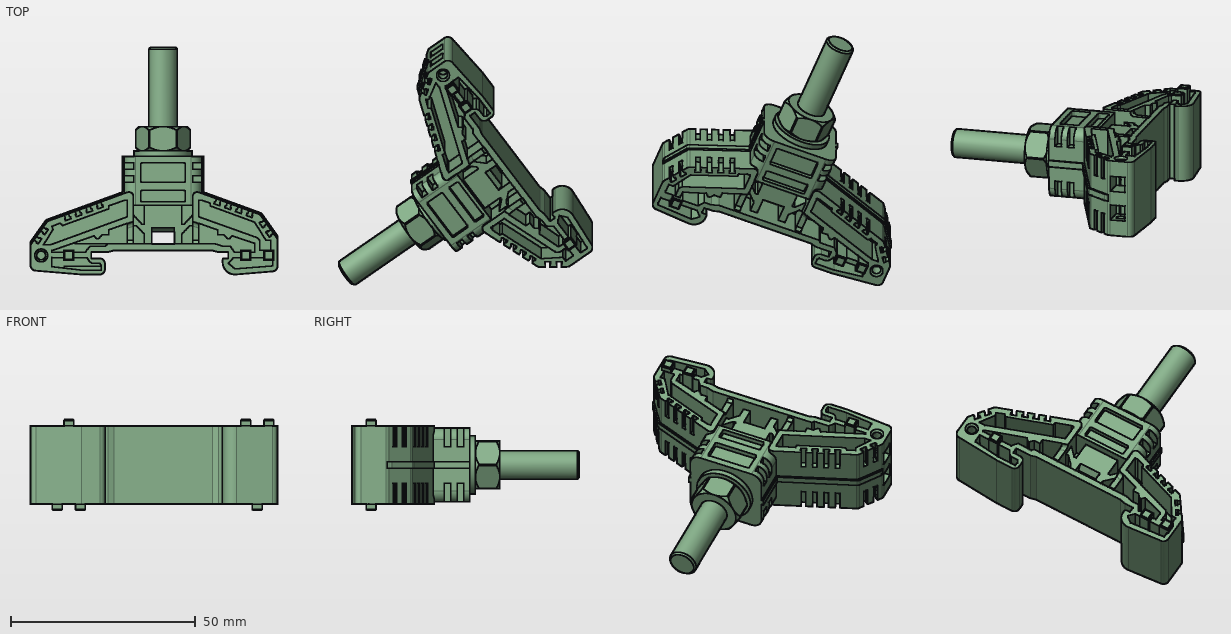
import cadquery as cq
import math


body_half_z = 10.6
web_half_z = 0.9
left_side_x = -35.95
right_side_x = 31.05
bottom_y = -6.5

slope = math.radians(20)
steep = math.radians(54.5)
left_knee_x = -31.35
right_knee_x = 26.3
arm_start_y = 15.5
arm_inner_x = 8.05
arm_wall_x = 9.7
left_pocket_x = -30.1
arm_corner_radius = 1.2
rib_height = 0.5
knee_radius = 1.4

hub_half_x = 10.5
hub_half_z = 10.0
hub_bottom_y = 12.25
hub_top_y = 25.5
hub_edge_radius = 3.0

rail_wall = 1.8
rail_step = 0.43
hook_top_y = -2.07

recess_floor_z = 7.4
strut_x = 5.05

peg_size = 2.75
peg_tip_z = 12.3
peg_chamfer = 0.3
peg_y = -1.26
top_peg_xs = (-25.5, 22.4, 28.65)

stud_diameter = 7.79
stud_end_y = 55.1
stud_chamfer = 0.5
collar_diameter = 15.8
collar_thickness = 1.5
nut_across_flats = 13.0
nut_corner_diameter = 14.8
nut_height = 6.6
nut_chamfer = 0.9


def prism(outline, z_low, z_high):
    """Closed X-Y polygon extruded from z_low to z_high."""
    return cq.Workplane("XY").workplane(offset=z_low).polyline(outline).close().extrude(z_high - z_low)


def block(x_low, x_high, y_low, y_high, z_low, z_high):
    return cq.Workplane("XY").box(
        x_high - x_low, y_high - y_low, z_high - z_low, centered=False
    ).translate((x_low, y_low, z_low))


def round_corners(shape, corners):
    """Fillets the upright edge nearest to each (x, y, radius)."""
    for x, y, radius in corners:
        nearest = cq.selectors.NearestToPointSelector((x, y, 0))
        shape = shape.edges("|Z").edges(nearest).fillet(radius)
    return shape


def both_faces(shape):
    """The shape together with its mirror image on the -Z side."""
    return shape.union(shape.mirror("XY"))


def both_sides(shape):
    """The shape together with its mirror image on the -X side."""
    return shape.union(shape.mirror("YZ"))


def arm_edge(side, knee_x, side_x, offset=0.0):
    """Upper edge of an arm from the hub outwards: hub end, knee and outer side, raised by offset."""
    hub_x = side * (hub_half_x + offset)
    knee_y = arm_start_y - (abs(knee_x) - hub_half_x) * math.tan(slope)
    bisector = (slope + steep) / 2
    reach = offset / math.cos((steep - slope) / 2)
    x = abs(knee_x) + reach * math.sin(bisector)
    y = knee_y + reach * math.cos(bisector)
    hub_y = y + (x - abs(hub_x)) * math.tan(slope)
    side_y = y - (abs(side_x) - x) * math.tan(steep)
    return [(hub_x, hub_y), (side * x, y), (side_x, side_y)]


left_edge = arm_edge(-1, left_knee_x, left_side_x)
right_edge = arm_edge(1, right_knee_x, right_side_x)


def make_profile():
    """Rail wall, feet with hooks, and arms, over the full thickness."""
    foot_radius = 1.6
    left_hook_x = -15.7
    left_hook_bottom_radius = 1.5
    left_hook_top_radius = 1.5
    left_gap_x = -19.4
    left_slope_end_x = -22.1
    left_corner_y = -5.35
    right_hook_x = 16.1
    right_hook_radius = 3.4
    right_hook_tip_radius = 0.5
    right_gap_x = 17.6
    right_hook_corner_y = -6.8
    right_corner_y = -5.55
    step_inner_x = 13.35
    step_outer_x = 14.95
    arm_top_y = arm_start_y + (hub_half_x - arm_inner_x) * math.tan(slope)

    profile = (
        cq.Workplane("XY").workplane(offset=-body_half_z)
        .moveTo(left_side_x, left_corner_y)
        .lineTo(left_slope_end_x, bottom_y)
        .lineTo(left_hook_x, bottom_y)
        .lineTo(left_hook_x, hook_top_y)
        .lineTo(left_gap_x, hook_top_y)
        .lineTo(left_gap_x, -rail_step)
        .lineTo(-step_outer_x, -rail_step)
        .lineTo(-step_inner_x, 0)
        .lineTo(step_inner_x, 0)
        .lineTo(step_outer_x, -rail_step)
        .lineTo(right_gap_x, -rail_step)
        .lineTo(right_gap_x, hook_top_y)
        .lineTo(right_hook_x, hook_top_y)
        .lineTo(right_hook_x, right_hook_corner_y)
        .lineTo(right_side_x, right_corner_y)
        .lineTo(*right_edge[2])
        .lineTo(*right_edge[1])
        .lineTo(arm_inner_x, arm_top_y)
        .lineTo(arm_inner_x, hub_bottom_y)
        .lineTo(-arm_inner_x, hub_bottom_y)
        .lineTo(-arm_inner_x, arm_top_y)
        .lineTo(*left_edge[1])
        .lineTo(*left_edge[2])
        .close()
        .extrude(2 * body_half_z)
    )

    rounded_corners = (
        (left_side_x, left_corner_y, foot_radius),
        (right_side_x, right_corner_y, foot_radius),
        (left_hook_x, bottom_y, left_hook_bottom_radius),
        (left_hook_x, hook_top_y, left_hook_top_radius),
        (right_hook_x, right_hook_corner_y, right_hook_radius),
        (right_hook_x, hook_top_y, right_hook_tip_radius),
        (-arm_inner_x, arm_top_y, arm_corner_radius),
        (arm_inner_x, arm_top_y, arm_corner_radius),
        *[(x, y, knee_radius) for x, y in left_edge[1:] + right_edge[1:]],
    )
    return round_corners(profile, rounded_corners)


def make_hub():
    hub = block(-hub_half_x, hub_half_x, hub_bottom_y, hub_top_y, -hub_half_z, hub_half_z)
    return hub.edges("|Y").fillet(hub_edge_radius)


def make_seam_rib():
    """Thin raised strip at mid thickness that follows the arms and the hub sides."""
    left = arm_edge(-1, left_knee_x, left_side_x, rib_height)
    right = arm_edge(1, right_knee_x, right_side_x, rib_height)
    outline = [(left[0][0], hub_top_y)] + left + [left_edge[2], right_edge[2]]
    outline += right[::-1] + [(right[0][0], hub_top_y)]
    rib = prism(outline, -web_half_z, web_half_z)
    return round_corners(rib, [(x, y, knee_radius) for x, y in left[1:] + right[1:]])


def make_recess():
    """Recess between the arms, with two deeper corners either side of a slanted strut."""
    recess = block(-arm_inner_x, arm_inner_x, rail_wall, hub_bottom_y, recess_floor_z, body_half_z)
    strut_bend_x = 5.75
    upper_corner = [
        (arm_inner_x, hub_bottom_y), (strut_x, hub_bottom_y), (strut_x, 7.2),
        (strut_bend_x, 7.2), (arm_inner_x, 9.65),
    ]
    lower_corner = [
        (arm_inner_x, rail_wall), (strut_x, rail_wall), (strut_x, 4.45),
        (7.3, 6.8), (arm_inner_x, 6.65),
    ]
    for corner in (upper_corner, lower_corner):
        recess = recess.union(both_sides(prism(corner, web_half_z, body_half_z)))
    return both_faces(recess)


def make_window():
    """Opening right through the centre, with a ramp leading in from each face."""
    half_x = 3.05
    top_y = 5.1
    ramp_rise = 1.1
    ramp_depth = 2.0
    window = block(-half_x, half_x, rail_wall, top_y, -recess_floor_z, recess_floor_z)
    ramp = (
        cq.Workplane("YZ").workplane(offset=-half_x)
        .polyline([
            (top_y, recess_floor_z - ramp_depth),
            (top_y + ramp_rise, recess_floor_z),
            (top_y, recess_floor_z),
        ])
        .close().extrude(2 * half_x)
    )
    return window.union(both_faces(ramp))


def make_end_wall_notch():
    """Lowers the wall that joins each arm to the rail, curving up into the arm."""
    outer_x = arm_wall_x
    floor_z = 9.2
    arm_y = 7.3
    curve_radius = 1.1
    bevel_rise = 0.6
    bevel_length = 1.0
    inner_arm_y = arm_y + (outer_x - arm_inner_x) * math.tan(slope)
    outline = [
        (arm_inner_x, rail_wall), (outer_x, rail_wall), (outer_x, arm_y), (arm_inner_x, inner_arm_y),
    ]
    notch = prism(outline, floor_z, body_half_z)
    notch = notch.faces("<Z").edges(">Y").fillet(curve_radius)
    bevel = (
        cq.Workplane("YZ").workplane(offset=arm_inner_x)
        .polyline([
            (rail_wall, floor_z), (rail_wall + bevel_length, floor_z), (rail_wall, floor_z + bevel_rise),
        ])
        .close().extrude(outer_x - arm_inner_x)
    )
    return both_faces(both_sides(notch.cut(bevel)))


def make_pockets():
    """Pockets in the arms and feet, cut from both faces down to the central web."""
    detent = [(14.75, 5.6), (14.75, 4.24), (16.5, 4.24), (17.5, 3.2), (18.0, 3.2), (18.7, 4.0)]
    left_arm = [
        (-arm_wall_x, 13.6), (-arm_wall_x, 9.15), (-30.6, 1.54), (-32.4, 1.54), (-29.8, 5.7),
        (-30.1, 6.55), (-27.9, 7.45), (-27.2, 6.8), (-14.75, 11.3), (-14.75, 12.1), (-10.5, 13.6),
    ]
    right_arm = [
        (arm_wall_x, 13.6), (arm_wall_x, 9.15), (25.5, 3.5), (26.25, 2.7), (26.25, 0.15),
        (29.2, 0.15), (29.2, 2.75), (27.9, 2.75), (24.8, 7.7), (12.8, 12.1), (12.8, 12.85),
        (10.6, 13.6),
    ]
    beside_rail = [
        (left_pocket_x, 0.0), (left_pocket_x, -rail_step), (-21.0, -rail_step), (-20.6, 0.2),
        (-19.75, 1.18), (-15.6, 1.18), (-15.0, rail_wall),
    ]
    left_wedge = [(-arm_wall_x, 7.4)] + [(-x, y) for x, y in detent] + beside_rail + [
        (-arm_wall_x, rail_wall),
    ]
    right_wedge = [(arm_wall_x, 7.4)] + detent + [
        (24.85, 1.95), (24.85, -rail_step), (19.35, -rail_step), (18.2, 1.18), (16.2, 1.18),
        (14.2, rail_wall), (arm_wall_x, rail_wall),
    ]
    left_foot = [
        (left_pocket_x, -1.87), (-20.6, -1.87), (-19.9, -3.0), (-19.2, -3.45), (-17.1, -3.45),
        (-16.7, -4.1), (-16.8, -5.3), (-22.1, -5.3), (left_pocket_x, -4.35),
    ]
    right_foot = [(19.1, -1.87), (29.7, -1.87), (29.7, -4.15), (19.5, -4.95), (17.7, -3.45)]

    pockets = cq.Workplane("XY")
    for outline in (left_arm, right_arm, left_wedge, right_wedge, left_foot, right_foot):
        pockets = pockets.add(prism(outline, web_half_z, body_half_z))
    low_floor_z = 0.4
    foot_bottom = [(-26.8, -4.3), (-16.75, -4.3), (-16.8, -5.3), (-22.1, -5.3), (-26.8, -4.74)]
    for outline in (beside_rail + [(-23.8, rail_wall), (-23.8, 2.2)], foot_bottom):
        pockets = pockets.add(prism(outline, low_floor_z, body_half_z))
    return both_faces(pockets.combine())


def make_hub_pockets():
    """Two shallow label recesses on each face of the hub."""
    half_x = 6.05
    depth = 1.5
    corner_radius = 0.4
    recesses = cq.Workplane("XY")
    for y_low, y_high in ((18.5, 23.75), (13.25, 16.3)):
        recess = block(-half_x, half_x, y_low, y_high, hub_half_z - depth, hub_half_z)
        recesses = recesses.add(recess.edges("|Z").fillet(corner_radius))
    return both_faces(recesses.combine())


def make_hub_slots():
    """Two cross slots in each rounded edge of the hub."""
    inner_x = 8.0
    floor_z = 4.95
    width = 1.8
    slots = cq.Workplane("XY")
    for y_low in (18.5, 22.0):
        slots = slots.add(block(inner_x, hub_half_x, y_low, y_low + width, floor_z, hub_half_z))
    return both_faces(both_sides(slots.combine()))


def make_grip_grooves():
    """T-shaped grooves along both straight stretches of each arm's upper edge."""
    neck_width = 1.2
    foot_width = 1.65
    neck_depth = 0.9
    total_depth = 1.5
    floor_z = 4.95
    pitch = 3.1
    steep_start = 2.5
    overrun = 0.3
    section = [
        (neck_width / 2, overrun), (neck_width / 2, -neck_depth), (foot_width / 2, -neck_depth),
        (foot_width / 2, -total_depth), (-foot_width / 2, -total_depth),
        (-foot_width / 2, -neck_depth), (-neck_width / 2, -neck_depth), (-neck_width / 2, overrun),
    ]
    groove = prism(section, floor_z, body_half_z)
    grooves = cq.Workplane("XY")
    for side, knee, slope_start in ((-1, left_edge[1], 5.5), (1, right_edge[1], 2.65)):
        stretches = (
            (slope, [-(slope_start + i * pitch) for i in range(4)]),
            (steep, [steep_start + i * pitch for i in range(2)]),
        )
        for angle, distances in stretches:
            turned = groove.rotate((0, 0, 0), (0, 0, 1), -side * math.degrees(angle))
            for distance in distances:
                x = knee[0] + side * distance * math.cos(angle)
                y = knee[1] - distance * math.sin(angle)
                grooves = grooves.add(turned.translate((x, y, 0)))
    return both_faces(grooves.combine())


def make_side_sockets():
    """Countersunk holes in the left end, each ending in a side window that runs into the pockets."""
    hole_x = -33.0
    hole_y = -1.3
    hole_diameter = 2.4
    mouth_diameter = 3.5
    mouth_depth = 0.6
    window_low_z = 1.95
    window_high_z = 6.2
    hole = (
        cq.Workplane("XZ", origin=(hole_x, hole_y, 0))
        .moveTo(0, window_low_z)
        .lineTo(hole_diameter / 2, window_low_z)
        .lineTo(hole_diameter / 2, body_half_z - mouth_depth)
        .lineTo(mouth_diameter / 2, body_half_z)
        .lineTo(0, body_half_z)
        .close()
        .revolve(360, (0, 0, 0), (0, 1, 0))
    )
    window = block(left_side_x, left_pocket_x, -3.3, 0.85, window_low_z, window_high_z)
    return both_faces(hole.union(window))


def make_peg(x):
    peg = block(
        x - peg_size / 2, x + peg_size / 2, peg_y - peg_size / 2, peg_y + peg_size / 2, 0, peg_tip_z
    )
    return peg.faces(">Z").chamfer(peg_chamfer)


def make_housing():
    housing = make_profile().cut(make_recess()).cut(make_end_wall_notch())
    housing = housing.union(make_hub()).union(make_seam_rib()).cut(make_window())
    housing = housing.cut(make_pockets()).cut(make_hub_pockets()).cut(make_hub_slots())
    housing = housing.cut(make_grip_grooves()).cut(make_side_sockets())
    for x in top_peg_xs:
        peg = make_peg(x)
        housing = housing.union(peg).union(peg.rotate((0, 0, 0), (0, 1, 0), 180))
    return housing


def make_stud():
    toward_end = cq.Workplane("XZ", origin=(0, hub_top_y, 0))
    collar = toward_end.circle(collar_diameter / 2).extrude(-collar_thickness)
    shank = toward_end.circle(stud_diameter / 2).extrude(hub_top_y - stud_end_y)
    return collar.union(shank.faces(">Y").chamfer(stud_chamfer))


def make_nut():
    base_y = hub_top_y + collar_thickness
    base = cq.Workplane("XZ", origin=(0, base_y, 0))
    hexagon = base.polygon(6, nut_across_flats / math.cos(math.pi / 6)).extrude(-nut_height)
    round_blank = base.circle(nut_corner_diameter / 2).extrude(-nut_height)
    round_blank = round_blank.faces("<Y or >Y").chamfer(nut_chamfer)
    bore = base.circle(stud_diameter / 2).extrude(-nut_height)
    return hexagon.intersect(round_blank).cut(bore)


housing = make_housing()
stud = make_stud()
nut = make_nut()

result = cq.Compound.makeCompound([housing.val(), stud.val(), nut.val()])